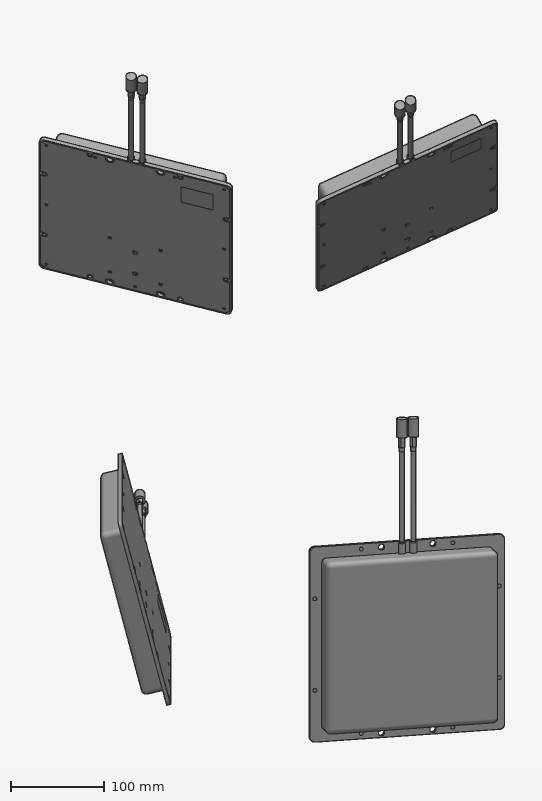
import cadquery as cq

OVERALL_HEIGHT = 352.5
FLANGE_SIDE = 216.0
TOTAL_DEPTH = 28.0

FLANGE_THICKNESS = 4.2
FLANGE_CORNER_RADIUS = 6.0
COVER_SIDE = 190.3
COVER_ROUNDING = 5.5

PLATE_MARGIN = 1.8
PLATE_THICKNESS = 1.8
PLATE_CORNER_CHAMFER = 4.5

MOUNT_HOLE_DIAMETER = 6.7
MOUNT_NOTCH_WIDTH = 10.0
MOUNT_OFFSET_X = 28.5
MOUNT_OFFSET_Z = 103.0
SCREW_HOLE_DIAMETER = 4.2
SCREW_HOLE_DEPTH = 3.5
SCREW_NOTCH_WIDTH = 6.5
SCREW_OFFSET_ALONG = 50.7
SCREW_OFFSET_OUT = 102.2

RIM_HOLE_DIAMETER = 3.0
RIM_HOLE_OFFSET = 100.0
UPPER_RIM_HOLE_OFFSET = 44.8
BRACKET_HOLE_DIAMETER = 4.0
BRACKET_UPPER_Z = -29.0
BRACKET_LOWER_Z = -86.0
CENTRE_HOLE_DIAMETER = 5.5
CENTRE_HOLE_UPPER_Z = -43.0
CENTRE_HOLE_LOWER_Z = -78.5

LABEL_WIDTH = 36.0
LABEL_HEIGHT = 25.7
LABEL_CORNER_RADIUS = 1.8
LABEL_DEPTH = 0.18
LABEL_CENTRE_X = 69.8
LABEL_CENTRE_Z = 74.0

CABLE_OFFSET_X = 6.5
CABLE_AXIS_Y = 5.5
CABLE_DIAMETER = 5.3
BUSHING_DIAMETER = 7.8
CONNECTOR_DIAMETER = 11.3
CONNECTOR_LENGTH = 20.5
HEX_ACROSS_CORNERS = 7.5
HEX_LENGTH = 11.3
COLLAR_LENGTH = 5.0
COLLAR_DIAMETER = 5.5

flange_top = FLANGE_SIDE / 2
connector_top = OVERALL_HEIGHT - flange_top
hex_top = connector_top - CONNECTOR_LENGTH
collar_top = hex_top - HEX_LENGTH
cable_top = collar_top - COLLAR_LENGTH
cover_top = COVER_SIDE / 2
plate_top = flange_top - PLATE_MARGIN
plate_side = FLANGE_SIDE - 2 * PLATE_MARGIN
cable_xs = (-CABLE_OFFSET_X, CABLE_OFFSET_X)

SIGNS = (-1, 1)


def plane_at(y):
    """Work plane facing -Y at the given depth, with local x = X and local y = Z."""
    return cq.Workplane("XZ", origin=(0, y, 0))


def slab(width, height, y_front, thickness):
    return plane_at(y_front).rect(width, height).extrude(-thickness)


def drill(points, diameter, y_front, depth):
    return plane_at(y_front).pushPoints(points).circle(diameter / 2).extrude(-depth)


def rod(x, diameter, z_bottom, z_top):
    base = cq.Workplane("XY", origin=(x, CABLE_AXIS_Y, z_bottom))
    return base.circle(diameter / 2).extrude(z_top - z_bottom)


def edge_notch(along, out, width, turn):
    """Round-ended notch running off the +Z plate edge, turned about the plate centre."""
    length = flange_top - out
    notch = drill([(along, out)], width, 0, PLATE_THICKNESS)
    notch = notch.union(slab(width, length, 0, PLATE_THICKNESS).translate((along, 0, out + length / 2)))
    return notch.rotate((0, 0, 0), (0, 1, 0), turn)


def make_plate_blank():
    """Undrilled plate outline, which is also the shape of its recess in the radome."""
    plate = slab(plate_side, plate_side, 0, PLATE_THICKNESS)
    plate = plate.edges("|Y").chamfer(PLATE_CORNER_CHAMFER)
    for turn in (0, 180):
        for sign in SIGNS:
            plate = plate.cut(edge_notch(sign * MOUNT_OFFSET_X, MOUNT_OFFSET_Z, MOUNT_NOTCH_WIDTH, turn))
    for turn in (0, 90, 180, 270):
        for sign in SIGNS:
            plate = plate.cut(edge_notch(sign * SCREW_OFFSET_ALONG, SCREW_OFFSET_OUT, SCREW_NOTCH_WIDTH, turn))
    return plate


def drill_plate(plate):
    rim_points = [(sx * RIM_HOLE_OFFSET, row * RIM_HOLE_OFFSET) for sx in SIGNS for row in (-1, 0, 1)]
    rim_points += [(sx * UPPER_RIM_HOLE_OFFSET, RIM_HOLE_OFFSET) for sx in SIGNS]
    rim_points += [(0, -RIM_HOLE_OFFSET)]
    bracket_points = [(sx * MOUNT_OFFSET_X, z) for sx in SIGNS for z in (BRACKET_UPPER_Z, BRACKET_LOWER_Z)]
    centre_points = [(0, CENTRE_HOLE_UPPER_Z), (0, CENTRE_HOLE_LOWER_Z)]
    plate = plate.cut(drill(rim_points, RIM_HOLE_DIAMETER, 0, PLATE_THICKNESS))
    plate = plate.cut(drill(bracket_points, BRACKET_HOLE_DIAMETER, 0, PLATE_THICKNESS))
    return plate.cut(drill(centre_points, CENTRE_HOLE_DIAMETER, 0, PLATE_THICKNESS))


def make_label():
    label = slab(LABEL_WIDTH, LABEL_HEIGHT, 0, LABEL_DEPTH).edges("|Y").fillet(LABEL_CORNER_RADIUS)
    return label.translate((LABEL_CENTRE_X, 0, LABEL_CENTRE_Z))


def make_radome(blank):
    flange = slab(FLANGE_SIDE, FLANGE_SIDE, 0, FLANGE_THICKNESS).edges("|Y").fillet(FLANGE_CORNER_RADIUS)
    cover = slab(COVER_SIDE, COVER_SIDE, FLANGE_THICKNESS, TOTAL_DEPTH - FLANGE_THICKNESS)
    cover = cover.edges("|Y or >Y").fillet(COVER_ROUNDING)
    radome = flange.union(cover).cut(blank)
    mount_points = [(sx * MOUNT_OFFSET_X, sz * MOUNT_OFFSET_Z) for sx in SIGNS for sz in SIGNS]
    radome = radome.cut(drill(mount_points, MOUNT_HOLE_DIAMETER, 0, FLANGE_THICKNESS))
    screw_points = []
    for side in SIGNS:
        for along in SIGNS:
            screw_points.append((along * SCREW_OFFSET_ALONG, side * SCREW_OFFSET_OUT))
            screw_points.append((side * SCREW_OFFSET_OUT, along * SCREW_OFFSET_ALONG))
    return radome.cut(drill(screw_points, SCREW_HOLE_DIAMETER, 0, SCREW_HOLE_DEPTH))


def cable_seat(x):
    """Round-bottomed slot for the end of a cable, open at the front and the top of the rim."""
    opening = cq.Workplane("XY").box(CABLE_DIAMETER, CABLE_AXIS_Y, PLATE_MARGIN, centered=(True, False, False))
    return rod(x, CABLE_DIAMETER, plate_top, flange_top).union(opening.translate((x, 0, plate_top)))


def make_bushing(x):
    return rod(x, BUSHING_DIAMETER, cover_top, flange_top).cut(cable_seat(x))


def make_cable(x):
    return rod(x, CABLE_DIAMETER, plate_top, cable_top)


def make_connector(x):
    barrel = rod(x, CONNECTOR_DIAMETER, hex_top, connector_top)
    hexagon = cq.Workplane("XY", origin=(x, CABLE_AXIS_Y, collar_top)).polygon(6, HEX_ACROSS_CORNERS)
    collar = rod(x, COLLAR_DIAMETER, cable_top, collar_top)
    return barrel.union(hexagon.extrude(HEX_LENGTH)).union(collar)


plate_blank = make_plate_blank()
plate = drill_plate(plate_blank).cut(make_label())
radome = make_radome(plate_blank)
bushings = [make_bushing(x) for x in cable_xs]
for x, bushing in zip(cable_xs, bushings):
    radome = radome.cut(bushing).cut(cable_seat(x))
cables = [make_cable(x) for x in cable_xs]
connectors = [make_connector(x) for x in cable_xs]

bodies = [radome, plate, *bushings, *cables, *connectors]
result = cq.Compound.makeCompound([body.val() for body in bodies])